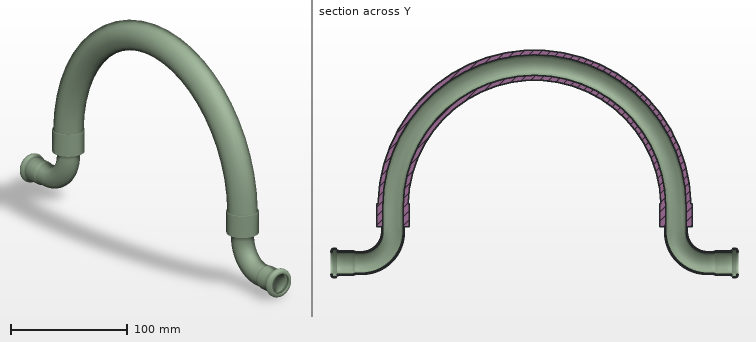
import cadquery as cq
import math

overall_length = 350.0
overall_height = 196.0
leg_offset = 121.5

pipe_diameter = 20.0
pipe_bore = 17.0
socket_diameter = 21.5
socket_bore = 18.5
mouth_bore = socket_bore
bead_diameter = 26.0
seal_groove_diameter = 23.0
collar_diameter = 28.0
hose_diameter = 26.2

bead_length = 6.5
socket_length = 19.2
taper_end = 21.5
elbow_start = 26.5
seal_groove_start = 1.5
seal_groove_end = 5.2

elbow_radius = overall_length / 2 - elbow_start - leg_offset
neck_length = 4.2
collar_length = 20.0
collar_bottom = elbow_radius + neck_length
collar_top = collar_bottom + collar_length

hose_top = overall_height - bead_diameter / 2
hose_center_z = hose_top - hose_diameter / 2 - leg_offset


def socket_profile():
    """Start an axial half-section at the left socket's open end."""
    return cq.Workplane("XY").moveTo(-overall_length / 2, 0)


def revolve_about_x(profile):
    return profile.close().revolve(360, (0, 0, 0), (1, 0, 0))


def left_socket():
    """Beaded press socket, tapering down to the plain pipe."""
    end_x = -overall_length / 2
    bead_radius = bead_diameter / 2
    round_radius = bead_length / 2
    round_center_x = end_x + round_radius
    round_center_y = bead_radius - round_radius
    socket_radius = socket_diameter / 2
    bead_back_x = round_center_x + math.sqrt(round_radius**2 - (socket_radius - round_center_y) ** 2)
    outline = (
        socket_profile()
        .lineTo(end_x, round_center_y)
        .threePointArc((round_center_x, bead_radius), (bead_back_x, socket_radius))
        .lineTo(end_x + socket_length, socket_radius)
        .lineTo(end_x + taper_end, pipe_diameter / 2)
        .lineTo(end_x + elbow_start, pipe_diameter / 2)
        .lineTo(end_x + elbow_start, 0)
    )
    return revolve_about_x(outline)


def left_socket_bore():
    """Mouth, internal seal groove and stepped bore down to the pipe bore."""
    end_x = -overall_length / 2
    outline = (
        socket_profile()
        .lineTo(end_x, mouth_bore / 2)
        .lineTo(end_x + seal_groove_start, mouth_bore / 2)
        .lineTo(end_x + seal_groove_start, seal_groove_diameter / 2)
        .lineTo(end_x + seal_groove_end, seal_groove_diameter / 2)
        .lineTo(end_x + seal_groove_end, socket_bore / 2)
        .lineTo(end_x + socket_length, socket_bore / 2)
        .lineTo(end_x + taper_end, pipe_bore / 2)
        .lineTo(end_x + elbow_start, pipe_bore / 2)
        .lineTo(end_x + elbow_start, 0)
    )
    return revolve_about_x(outline)


def left_elbow(diameter):
    """Quarter bend from the horizontal socket into the vertical leg."""
    return (
        cq.Workplane("YZ", origin=(-overall_length / 2 + elbow_start, 0, 0))
        .circle(diameter / 2)
        .revolve(90, (3.5, elbow_radius, 0), (-3.5, elbow_radius, 0))
    )


def left_leg(diameter, bottom, top):
    """Vertical cylinder on the axis of the left leg."""
    return cq.Workplane("XY", origin=(-leg_offset, 0, bottom)).circle(diameter / 2).extrude(top - bottom)


def hose(diameter):
    """Half torus joining the two legs."""
    return (
        cq.Workplane("XY", origin=(-leg_offset, 0, hose_center_z))
        .circle(diameter / 2)
        .revolve(180, (leg_offset, -3.5, 0), (leg_offset, 3.5, 0))
    )


def both_ends(left_end):
    return left_end.union(left_end.mirror("YZ"))


left_body = (
    left_socket()
    .union(left_elbow(pipe_diameter))
    .union(left_leg(pipe_diameter, elbow_radius, collar_bottom))
    .union(left_leg(collar_diameter, collar_bottom, collar_top))
)
left_passage = (
    left_socket_bore()
    .union(left_elbow(pipe_bore))
    .union(left_leg(pipe_bore, elbow_radius, hose_center_z))
)

body = both_ends(left_body).union(hose(hose_diameter))
passage = both_ends(left_passage).union(hose(pipe_bore))
result = body.cut(passage)